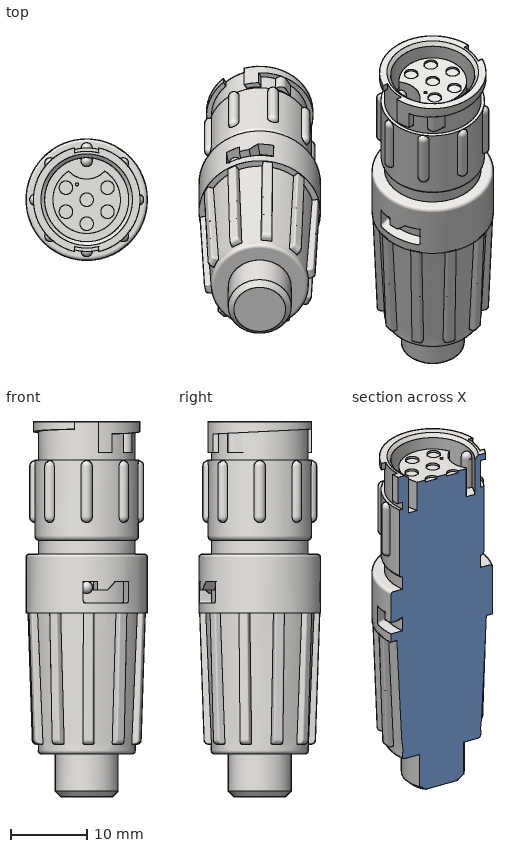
import cadquery as cq
import math

TOTAL_HEIGHT = 49.35
TAIL_TOP = 5.62
GRIP_TOP = 24.2
COLLAR_TOP = 31.9
SLEEVE_BOTTOM = 33.7
SLEEVE_TOP = 44.25

TAIL_RADIUS = 4.15
TAIL_CHAMFER = 0.75

GRIP_RADIUS_BOTTOM = 6.35
GRIP_RADIUS_TOP = 7.15
GRIP_FILLET = 0.45
GRIP_RIB_COUNT = 10
GRIP_RIB_RADIUS_BOTTOM = 7.3
GRIP_RIB_RADIUS_TOP = 7.9
GRIP_RIB_BOTTOM = 6.9
GRIP_RIB_OUTER_WIDTH = 1.25
GRIP_RIB_BASE_WIDTH = 1.6
GRIP_RIB_BASE_RADIUS = 5.9
GRIP_RIB_EDGE_FILLET = 0.2
GRIP_RIB_END_FILLET = 0.6
GRIP_TURN = 2.0

COLLAR_RADIUS = 8.0
COLLAR_FILLET = 0.45
WINDOW_TURN = GRIP_TURN + 180 / GRIP_RIB_COUNT
WINDOW_HALF_WIDTH = 3.15
WINDOW_BOTTOM = 25.5
WINDOW_TOP = 28.3
WINDOW_STEP = 27.2
WINDOW_TAB_EDGE = -1.35
WINDOW_CORNER = 0.3
LUG_RADIUS = 0.8

NECK_RADIUS = 6.35

SLEEVE_RADIUS = 6.8
SLEEVE_FILLET = 0.6
SLEEVE_RIB_COUNT = 8
SLEEVE_RIB_RADIUS = 0.75
SLEEVE_RIB_REACH = 7.5
SLEEVE_RIB_BOTTOM = 36.05
SLEEVE_RIB_TOP = 44.2

LIP_RADIUS = 7.0
LIP_THIN = 1.0
LIP_THICK = 1.7
LIP_SLOT_HALF_WIDTH = 1.6
STOP_BOTTOM = 45.25
STOP_EDGE = 3.35
CATCH_START = (4.8, -4.15)
CATCH_BULGE = (5.7, -4.0)
CATCH_CREST = (5.95, -3.4)
CATCH_BACK = -2.15

SOCKET_RADIUS = 5.55
SOCKET_CHAMFER = 0.5
SOCKET_FLOOR = 43.4
INSERT_RADIUS = 4.45
INSERT_TOP = 47.75
KEYWAY_RADIUS = 3.2
KEYWAY_CENTER = 5.9
KEY_RADIUS = 0.75
KEY_CENTER = 5.1
KEY_TOP = 48.55
CONTACT_RADIUS = 0.9
CONTACT_CIRCLE = 3.15
CONTACT_ANGLES = (-150, -90, -30, 30, 150)
CONTACT_DEPTH = 0.3
MARK_RADIUS = 0.2
MARK_PLACE = (-1.3, 2.0)


def cylinder(radius, bottom, top):
    return cq.Workplane("XY").workplane(offset=bottom).circle(radius).extrude(top - bottom)


def ball(radius, height):
    return cq.Workplane("XY").sphere(radius).translate((0, 0, height))


def domed_post(radius, bottom, top):
    return cylinder(radius, bottom, top - radius).union(ball(radius, top - radius))


def turned(shape, degrees):
    return shape.rotate((0, 0, 0), (0, 0, 1), degrees)


def twice(shape):
    """The shape together with its copy half a turn around the axis."""
    return shape.union(turned(shape, 180))


def make_tail():
    return cylinder(TAIL_RADIUS, 0, TAIL_TOP).faces("<Z").chamfer(TAIL_CHAMFER)


def make_grip_rib():
    """One tapered rib on the -Y side, with sides that lean towards each other."""
    def section(radius):
        return [
            (-GRIP_RIB_BASE_WIDTH / 2, -GRIP_RIB_BASE_RADIUS),
            (GRIP_RIB_BASE_WIDTH / 2, -GRIP_RIB_BASE_RADIUS),
            (GRIP_RIB_OUTER_WIDTH / 2, -radius),
            (-GRIP_RIB_OUTER_WIDTH / 2, -radius),
        ]

    rib = (
        cq.Workplane("XY").workplane(offset=GRIP_RIB_BOTTOM)
        .polyline(section(GRIP_RIB_RADIUS_BOTTOM)).close()
        .workplane(offset=GRIP_TOP - GRIP_RIB_BOTTOM)
        .polyline(section(GRIP_RIB_RADIUS_TOP)).close()
        .loft(ruled=True)
    )
    rib = rib.faces("<Z").edges("<Y").fillet(GRIP_RIB_END_FILLET)
    return rib.faces("<Y").edges("not |X").fillet(GRIP_RIB_EDGE_FILLET)


def make_grip():
    grip = (
        cq.Workplane("XY").workplane(offset=TAIL_TOP).circle(GRIP_RADIUS_BOTTOM)
        .workplane(offset=GRIP_TOP - TAIL_TOP).circle(GRIP_RADIUS_TOP)
        .loft()
        .faces("<Z").edges().fillet(GRIP_FILLET)
    )
    rib = make_grip_rib()
    for index in range(GRIP_RIB_COUNT):
        grip = grip.union(turned(rib, GRIP_TURN + index * 360 / GRIP_RIB_COUNT))
    return grip


def make_window():
    """Stepped locking window, cut straight in from the -Y side down to the neck."""
    rise = WINDOW_TOP - WINDOW_STEP
    window = (
        cq.Workplane("XZ")
        .moveTo(-WINDOW_HALF_WIDTH, WINDOW_BOTTOM)
        .lineTo(WINDOW_HALF_WIDTH, WINDOW_BOTTOM)
        .lineTo(WINDOW_HALF_WIDTH, WINDOW_TOP)
        .lineTo(rise, WINDOW_TOP)
        .lineTo(0, WINDOW_STEP)
        .lineTo(WINDOW_TAB_EDGE, WINDOW_STEP)
        .lineTo(WINDOW_TAB_EDGE, WINDOW_TOP)
        .lineTo(-WINDOW_HALF_WIDTH, WINDOW_TOP)
        .close()
        .extrude(2 * COLLAR_RADIUS)
        .edges("|Y and <Z").fillet(WINDOW_CORNER)
    )
    return turned(window, WINDOW_TURN).cut(cylinder(NECK_RADIUS, GRIP_TOP, COLLAR_TOP))


def make_collar():
    collar = cylinder(COLLAR_RADIUS, GRIP_TOP, COLLAR_TOP).faces(">Z").edges().fillet(COLLAR_FILLET)
    lug = ball(LUG_RADIUS, WINDOW_TOP - LUG_RADIUS).translate((0, -NECK_RADIUS, 0))
    return collar.cut(twice(make_window())).union(twice(lug))


def make_sleeve():
    """Sleeve with round ribs that have a ball at each end."""
    lower_ball = SLEEVE_RIB_BOTTOM + SLEEVE_RIB_RADIUS
    sleeve = cylinder(SLEEVE_RADIUS, SLEEVE_BOTTOM, SLEEVE_TOP)
    sleeve = sleeve.faces("<Z").edges().fillet(SLEEVE_FILLET)
    rib = domed_post(SLEEVE_RIB_RADIUS, lower_ball, SLEEVE_RIB_TOP)
    rib = rib.union(ball(SLEEVE_RIB_RADIUS, lower_ball))
    rib = rib.translate((0, SLEEVE_RIB_RADIUS - SLEEVE_RIB_REACH, 0))
    for index in range(SLEEVE_RIB_COUNT):
        sleeve = sleeve.union(turned(rib, index * 360 / SLEEVE_RIB_COUNT))
    return sleeve


def make_half_lip():
    """Lip on the +X side: its sloping underside is lowest at the stop on the -Y end."""
    lip = (
        cq.Workplane("YZ")
        .moveTo(-LIP_RADIUS, TOTAL_HEIGHT)
        .lineTo(-LIP_RADIUS, TOTAL_HEIGHT - LIP_THICK)
        .lineTo(LIP_RADIUS, TOTAL_HEIGHT - LIP_THIN)
        .lineTo(LIP_RADIUS, TOTAL_HEIGHT)
        .close()
        .extrude(LIP_RADIUS)
    )
    stop_height = TOTAL_HEIGHT - STOP_BOTTOM
    stop = cq.Workplane("XY").box(STOP_EDGE, LIP_RADIUS, stop_height, centered=False)
    stop = stop.translate((0, -LIP_RADIUS, STOP_BOTTOM))
    catch = (
        cq.Workplane("XY").workplane(offset=STOP_BOTTOM)
        .moveTo(*CATCH_START)
        .threePointArc(CATCH_BULGE, CATCH_CREST)
        .lineTo(CATCH_CREST[0], CATCH_BACK)
        .lineTo(CATCH_START[0], CATCH_BACK)
        .close()
        .extrude(TOTAL_HEIGHT - LIP_THIN - STOP_BOTTOM)
    )
    slot = cq.Workplane("XY").box(2 * LIP_SLOT_HALF_WIDTH, 3 * LIP_RADIUS, 3 * TOTAL_HEIGHT)
    rim = cylinder(LIP_RADIUS, STOP_BOTTOM, TOTAL_HEIGHT)
    return lip.union(stop).union(catch).intersect(rim).cut(slot)


def make_socket():
    socket = cylinder(SOCKET_RADIUS, SOCKET_FLOOR, TOTAL_HEIGHT)
    mouth = (
        cq.Workplane("XY").workplane(offset=TOTAL_HEIGHT).circle(SOCKET_RADIUS + SOCKET_CHAMFER)
        .workplane(offset=-SOCKET_CHAMFER).circle(SOCKET_RADIUS)
        .loft()
    )
    return socket.union(mouth)


def make_insert():
    insert = cylinder(INSERT_RADIUS, SOCKET_FLOOR, INSERT_TOP)
    keyway = cylinder(KEYWAY_RADIUS, SOCKET_FLOOR, INSERT_TOP)
    insert = insert.cut(keyway.translate((0, KEYWAY_CENTER, 0)))
    contacts = [(0, 0)]
    for angle in CONTACT_ANGLES:
        turn = math.radians(angle)
        contacts.append((CONTACT_CIRCLE * math.cos(turn), CONTACT_CIRCLE * math.sin(turn)))
    insert = (
        insert.faces(">Z").workplane(origin=(0, 0, INSERT_TOP))
        .pushPoints(contacts).circle(CONTACT_RADIUS).cutBlind(-CONTACT_DEPTH)
    )
    mark = cylinder(MARK_RADIUS, INSERT_TOP - CONTACT_DEPTH, INSERT_TOP)
    return insert.cut(mark.translate((*MARK_PLACE, 0)))


def make_key():
    """Round-topped key post, joined to the socket wall on the +Y side."""
    post = domed_post(KEY_RADIUS, SOCKET_FLOOR, KEY_TOP)
    web_depth = SOCKET_RADIUS - KEY_CENTER
    web_height = KEY_TOP - KEY_RADIUS - SOCKET_FLOOR
    web = cq.Workplane("XY").box(2 * KEY_RADIUS, web_depth, web_height, centered=False)
    web = web.translate((-KEY_RADIUS, 0, SOCKET_FLOOR))
    return post.union(web).translate((0, KEY_CENTER, 0))


plug = cylinder(NECK_RADIUS, COLLAR_TOP, TOTAL_HEIGHT).union(twice(make_half_lip()))
plug = plug.union(make_sleeve()).cut(make_socket())
plug = plug.union(make_insert()).union(make_key())
result = make_tail().union(make_grip()).union(make_collar()).union(plug)